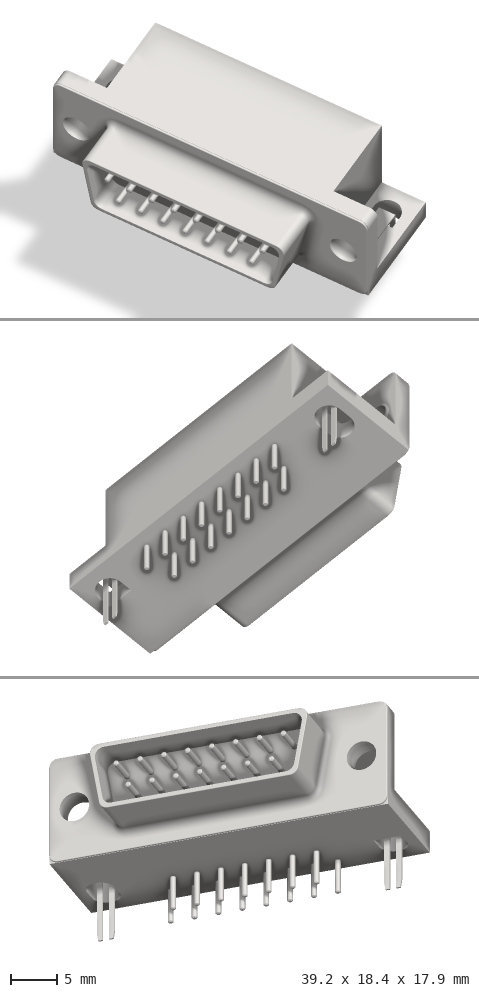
import cadquery as cq
import math


width = 39.2
height = 12.55
depth = 12.62
flange_back = 2.25
flange_corner = 0.98
block_width = 28.22
ledge_height = 2.63

plate_thickness = 0.25
plate_inset = 0.05
plate_edge_fillet = 0.08

mount_x = 16.62
mount_z = height / 2
hole_diameter = 3.4
slot_width = 3.2
slot_back_center = depth - 3.2
slot_length = 1.6
slot_front_center = slot_back_center - slot_length

shell_length = 5.8
shell_height = 7.9
shell_top_width = 25.55
shell_slope = math.radians(10)
shell_corner = 1.0
shell_wall = 0.5
shell_base_fillet = 0.63
rim_fillet = 0.08
cavity_depth = 3.8

contact_diameter = 0.63
upper_count = 8
upper_row_span = 19.35
contact_pitch = upper_row_span / (upper_count - 1)
row_spacing = 2.82
lower_count = upper_count - 1
tip_recess = 0.25
tip_chamfer = 0.1
tail_length = 3.92
tail_chamfer = 0.1
upper_tail_y = depth - 1.85
contact_embed = 0.4

washer_diameter = 4.0
washer_thickness = 0.25
sheet = 0.25
sheet_gap = 0.1
bend_radius = 0.1
strap_width = 2.05
strap_back = depth - 3.15
tine_gap = 0.75
tine_length = 5.37
tine_taper_width = 0.15
tine_taper_length = 0.95


def box(x0, x1, y0, y1, z0, z1):
    """Axis-aligned box between two opposite corners."""
    return cq.Workplane("XY", origin=(x0, y0, z0)).box(x1 - x0, y1 - y0, z1 - z0, centered=False)


def rod(x, z, diameter, front, back):
    """Cylinder along Y between two Y positions."""
    return cq.Workplane("XZ", origin=(x, front, z)).circle(diameter / 2).extrude(front - back)


def make_housing():
    """Flange, central block and two side ledges."""
    half_width = width / 2
    flange = box(-half_width, half_width, plate_thickness, flange_back, 0, height)
    flange = flange.edges("|Y and >Z").fillet(flange_corner)
    ledge = box(-half_width, half_width, plate_thickness, depth, 0, ledge_height)
    block = box(-block_width / 2, block_width / 2, plate_thickness, depth, 0, height)
    return flange.union(ledge).union(block)


def make_plate():
    """Thin front plate, just smaller than the flange, with round corners and a softened front edge."""
    side = width / 2 - plate_inset
    plate = box(-side, side, 0, plate_thickness, plate_inset, height - plate_inset)
    plate = plate.edges("|Y").fillet(flange_corner)
    return plate.faces("<Y").edges().fillet(plate_edge_fillet)


def d_prism(inset, front, back):
    """Rounded D outline, moved inwards by inset, between two Y positions."""
    half_height = shell_height / 2
    half_top = shell_top_width / 2
    half_bottom = half_top - shell_height * math.tan(shell_slope)
    top_shift = inset / math.tan(math.pi / 4 - shell_slope / 2)
    bottom_shift = inset / math.tan(math.pi / 4 + shell_slope / 2)
    top = (half_top - top_shift, half_height - inset)
    bottom = (half_bottom - bottom_shift, inset - half_height)
    outline = [top, bottom, (-bottom[0], bottom[1]), (-top[0], top[1])]
    prism = cq.Workplane("XZ", origin=(0, front, mount_z)).polyline(outline).close().extrude(front - back)
    return prism.edges("|Y").fillet(shell_corner)


def make_front():
    """Plate and shell, with the flare where they meet and the open cavity."""
    shell = d_prism(0, -shell_length, plate_thickness)
    shell = shell.faces("<Y").edges().fillet(rim_fillet)
    front = make_plate().union(shell)
    zone_x = (shell_top_width + shell_wall) / 2
    zone_z = (shell_height + shell_wall) / 2
    root_edges = cq.selectors.BoxSelector(
        (-zone_x, -plate_thickness / 2, mount_z - zone_z),
        (zone_x, plate_thickness / 2, mount_z + zone_z),
    )
    front = front.edges(root_edges).fillet(shell_base_fillet)
    return front.cut(d_prism(shell_wall, -shell_length, cavity_depth - shell_length))


def make_contact(x, z, tail_y):
    """Mating pin in the cavity and the solder tail under the housing."""
    tip = tip_recess - shell_length
    pin = rod(x, z, contact_diameter, tip, cavity_depth - shell_length + contact_embed)
    pin = pin.faces("<Y").chamfer(tip_chamfer)
    tail = (
        cq.Workplane("XY", origin=(x, tail_y, -tail_length))
        .circle(contact_diameter / 2)
        .extrude(tail_length + contact_embed)
        .faces("<Z")
        .chamfer(tail_chamfer)
    )
    return [pin, tail]


def make_bracket(x):
    """Washer behind the flange, bent strap along the ledge and two tines."""
    strap_front = flange_back + sheet_gap
    strap_top = ledge_height + sheet_gap
    strap_bottom = strap_top - sheet
    upright_top = mount_z - hole_diameter / 2
    side_profile = [
        (strap_front, upright_top),
        (strap_front + sheet, upright_top),
        (strap_front + sheet, strap_top),
        (strap_back, strap_top),
        (strap_back, -tine_length),
        (strap_back - sheet, -tine_length),
        (strap_back - sheet, strap_bottom),
        (strap_front, strap_bottom),
    ]
    half_strap = strap_width / 2
    strap_plane = cq.Workplane("YZ", origin=(x - half_strap, 0, 0))
    strap = strap_plane.polyline(side_profile).close().extrude(strap_width)
    for bend_y in (strap_front + sheet, strap_back):
        bend = cq.selectors.NearestToPointSelector((x, bend_y, strap_top))
        strap = strap.edges("|X").edges(bend).fillet(bend_radius)

    half_gap = tine_gap / 2
    strap = strap.cut(box(x - half_gap, x + half_gap, 0, depth, -tine_length, strap_bottom))
    for side in (-1, 1):
        edge_x = side * half_strap
        taper = (
            cq.Workplane("XZ", origin=(x, depth, 0))
            .moveTo(edge_x, tine_taper_length - tine_length)
            .lineTo(edge_x, -tine_length)
            .lineTo(edge_x - side * tine_taper_width, -tine_length)
            .close()
            .extrude(depth)
        )
        strap = strap.cut(taper)

    washer = rod(x, mount_z, washer_diameter, flange_back, flange_back + washer_thickness)
    return washer.union(strap)


def make_slot(x, round_front):
    """Ledge slot, rounded at the back and either rounded or flat at the front."""
    half_slot = slot_width / 2
    slot = box(x - half_slot, x + half_slot, slot_front_center, slot_back_center, 0, ledge_height)
    ends = [slot_back_center]
    if round_front:
        ends.append(slot_front_center)
    for y in ends:
        slot = slot.union(cq.Workplane("XY", origin=(x, y, 0)).circle(half_slot).extrude(ledge_height))
    return slot


def contact_rows():
    """Pins and tails of both rows; the upper row has its tails farther back."""
    rows = (
        (upper_count, mount_z + row_spacing / 2, upper_tail_y),
        (lower_count, mount_z - row_spacing / 2, upper_tail_y - row_spacing),
    )
    pieces = []
    for count, row_z, tail_y in rows:
        for index in range(count):
            x = (index - (count - 1) / 2) * contact_pitch
            pieces += make_contact(x, row_z, tail_y)
    return pieces


result = make_housing()
result = result.cut(make_slot(-mount_x, True)).cut(make_slot(mount_x, False))
result = result.union(make_front())

for mount_side in (-1, 1):
    bracket_x = mount_side * mount_x
    result = result.union(make_bracket(bracket_x))
    result = result.cut(rod(bracket_x, mount_z, hole_diameter, 0, flange_back + sheet_gap + sheet))

for piece in contact_rows():
    result = result.union(piece)